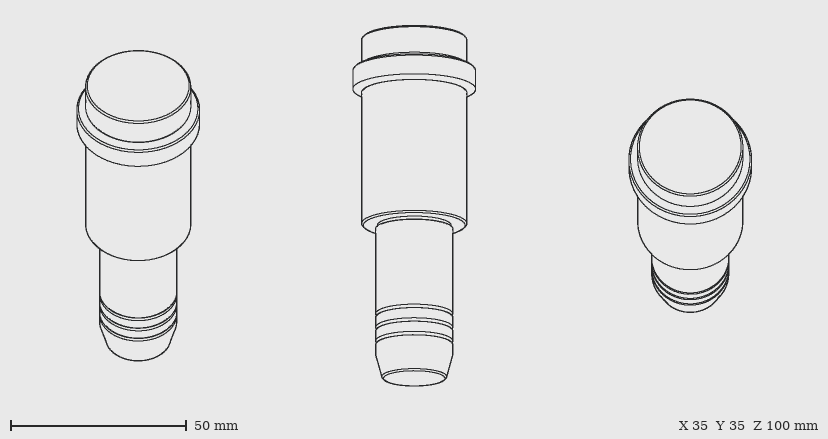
import cadquery as cq
import math

total_length = 100.0

collar_radius = 17.5
body_radius = 15.0
shank_radius = 11.0

collar_top_depth = 9.0
collar_thickness = 6.0
body_end_depth = 55.0
groove_depths = (81.0, 85.0, 89.0)
taper_start_depth = 93.0

edge_break = 0.5
relief_width = 1.0
relief_cut = 0.5
groove_radius = 0.5
taper_angle = 15.0

collar_top = total_length - collar_top_depth
collar_bottom = collar_top - collar_thickness
body_bottom = total_length - body_end_depth
taper_top = total_length - taper_start_depth

tip_radius = shank_radius - (taper_top - edge_break) * math.tan(math.radians(taper_angle))


def cylinder(radius, bottom, top):
    """Round section on the Z axis between two heights."""
    return cq.Workplane("XY").workplane(offset=bottom).circle(radius).extrude(top - bottom)


def make_head():
    """Plug above the collar with a broken top edge."""
    head = cylinder(body_radius, collar_top, total_length)
    return head.faces(">Z").edges().chamfer(edge_break)


def make_collar():
    """Wide stop ring with a broken upper edge."""
    collar = cylinder(collar_radius, collar_bottom, collar_top)
    return collar.faces(">Z").edges().chamfer(edge_break)


def make_body():
    """Main cylinder below the collar with a broken lower edge."""
    body = cylinder(body_radius, body_bottom, collar_bottom)
    return body.faces("<Z").edges().chamfer(edge_break)


def make_shank():
    """Slim shank with a relief under the body and a tapered tip."""
    relief_bottom = body_bottom - relief_width
    profile = [
        (0, 0),
        (tip_radius - edge_break, 0),
        (tip_radius, edge_break),
        (shank_radius, taper_top),
        (shank_radius, relief_bottom),
        (shank_radius - relief_cut, relief_bottom),
        (shank_radius - relief_cut, body_bottom),
        (0, body_bottom),
    ]
    return cq.Workplane("XZ").polyline(profile).close().revolve(360, (0, 0, 0), (0, 1, 0))


def make_groove(radius, upper):
    """Half-round ring cutter for a section of the given radius, from height upper downwards."""
    middle = upper - groove_radius
    lower = upper - 2 * groove_radius
    profile = cq.Workplane("XZ").moveTo(radius, upper)
    profile = profile.threePointArc((radius - groove_radius, middle), (radius, lower)).close()
    return profile.revolve(360, (0, 0, 0), (0, 1, 0))


result = make_shank().union(make_body()).union(make_collar()).union(make_head())

for groove_top in (collar_top + 2 * groove_radius, collar_bottom):
    result = result.cut(make_groove(body_radius, groove_top))

for groove_depth in groove_depths:
    result = result.cut(make_groove(shank_radius, total_length - groove_depth))